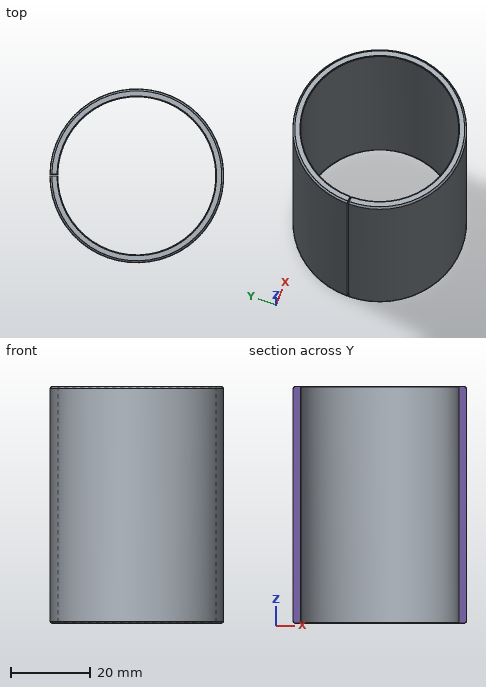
import cadquery as cq

outer_diameter = 44.0
wall = 2.0
length = 60.0
outer_chamfer = 0.5
inner_chamfer = 0.2
joint_angle = 1.0

outer_radius = outer_diameter / 2
inner_radius = outer_radius - wall


def wall_section():
    """Wall profile in the XZ plane on the -X side, with all four rims chamfered."""
    return (
        cq.Workplane("XZ")
        .moveTo(-inner_radius, inner_chamfer)
        .lineTo(-inner_radius - inner_chamfer, 0)
        .lineTo(-outer_radius + outer_chamfer, 0)
        .lineTo(-outer_radius, outer_chamfer)
        .lineTo(-outer_radius, length - outer_chamfer)
        .lineTo(-outer_radius + outer_chamfer, length)
        .lineTo(-inner_radius - inner_chamfer, length)
        .lineTo(-inner_radius, length - inner_chamfer)
        .close()
    )


full_turn = 360
result = wall_section().revolve(full_turn - joint_angle, (0, 0), (0, 1))